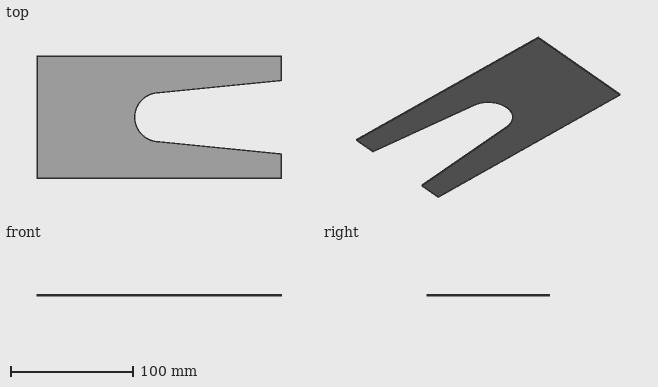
import cadquery as cq

length = 200.0
width = 100.0
thickness = 1.0

slot_radius = 20.0
slot_mouth_width = 60.0
slot_centre_x = 0.0


def make_plate():
    """Flat rectangular plate centred on the origin."""
    return cq.Workplane("XY").box(length, width, thickness)


def make_slot():
    """Cutter for the slot: a half-round end that widens in straight flanks to the mouth."""
    mouth_x = length / 2
    mouth_half_width = slot_mouth_width / 2
    return (
        cq.Workplane("XY")
        .workplane(offset=-thickness / 2)
        .moveTo(mouth_x, mouth_half_width)
        .lineTo(slot_centre_x, slot_radius)
        .threePointArc((slot_centre_x - slot_radius, 0), (slot_centre_x, -slot_radius))
        .lineTo(mouth_x, -mouth_half_width)
        .close()
        .extrude(thickness)
    )


result = make_plate().cut(make_slot())